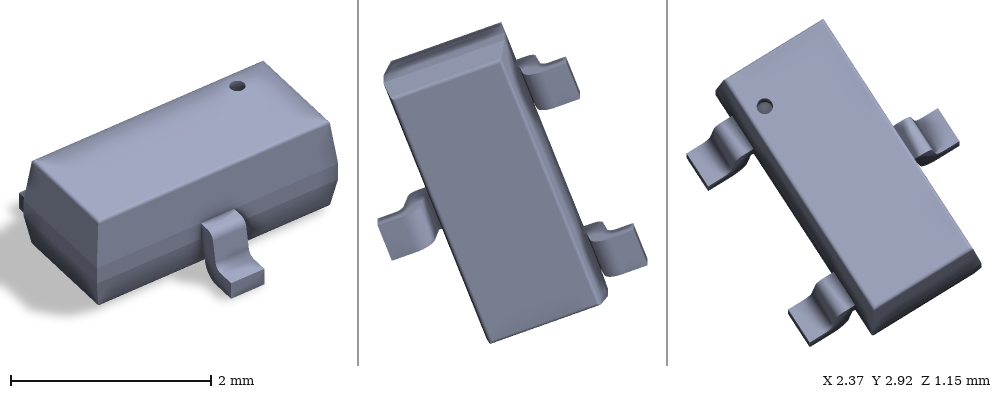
import cadquery as cq
import math

body_length = 2.92
overall_width = 2.37
overall_height = 1.15

body_width = 1.296
standoff = 0.05
band_top = 0.613
lead_thickness = 0.201
band_bottom = band_top - lead_thickness
taper_inset = 0.06
edge_radius = 0.032

mark_diameter = 0.164
mark_depth = 0.164
mark_edge_distance = 0.26

lead_width = 0.403
lead_pitch = 1.898
lead_reach = (overall_width - body_width) / 2
flank_angle = 10.0
shoulder_length = 0.201
bend_radius = 0.1
heel_radius = 0.2


def tapered_half(base_z, height):
    """Frustum growing from the waist band; a negative height points down."""
    return (
        cq.Workplane("XY", origin=(0, 0, base_z))
        .rect(body_width, body_length)
        .workplane(offset=height)
        .rect(body_width - 2 * taper_inset, body_length - 2 * taper_inset)
        .loft(ruled=True)
    )


def make_body():
    band = (
        cq.Workplane("XY", origin=(0, 0, band_bottom))
        .rect(body_width, body_length)
        .extrude(lead_thickness)
    )
    upper = tapered_half(band_top, overall_height - band_top)
    lower = tapered_half(band_bottom, standoff - band_bottom)
    upper = upper.faces(">Z").edges().fillet(edge_radius)
    lower = lower.faces("<Z").edges().fillet(edge_radius)
    mark = (
        cq.Workplane("XY", origin=(0, 0, overall_height - mark_depth))
        .center(mark_edge_distance - body_width / 2, lead_pitch / 2)
        .circle(mark_diameter / 2)
        .extrude(mark_depth)
    )
    return band.union(upper).union(lower).cut(mark)


def make_lead(y):
    """Lead on the -X side, centred on y, butting against the waist band."""
    slope = math.tan(math.radians(flank_angle))
    flank_offset = lead_thickness / math.cos(math.radians(flank_angle))
    face_x = -body_width / 2
    tip_x = face_x - lead_reach
    shoulder_x = face_x - shoulder_length

    def outer_flank_x(z):
        return shoulder_x - (band_top - z) * slope

    def inner_flank_x(z):
        return outer_flank_x(z) + flank_offset

    shoulder = (shoulder_x, band_top)
    instep = (outer_flank_x(lead_thickness), lead_thickness)
    heel = (inner_flank_x(0), 0)
    profile = [
        (tip_x, 0),
        (tip_x, lead_thickness),
        instep,
        shoulder,
        (face_x, band_top),
        (face_x, band_bottom),
        (inner_flank_x(band_bottom), band_bottom),
        heel,
    ]
    lead = (
        cq.Workplane("XZ", origin=(0, y + lead_width / 2, 0))
        .polyline(profile)
        .close()
        .extrude(lead_width)
    )
    bends = [(instep, bend_radius), (shoulder, bend_radius), (heel, heel_radius)]
    for (x, z), radius in bends:
        corner = cq.selectors.NearestToPointSelector((x, y, z))
        lead = lead.edges("|Y").edges(corner).fillet(radius)
    return lead


body = make_body()
leads = [make_lead(side * lead_pitch / 2) for side in (-1, 1)]
leads.append(make_lead(0).rotate((0, 0, 0), (0, 0, 1), 180))

solids = [part.solids().val() for part in (body, *leads)]
result = cq.Compound.makeCompound(solids)